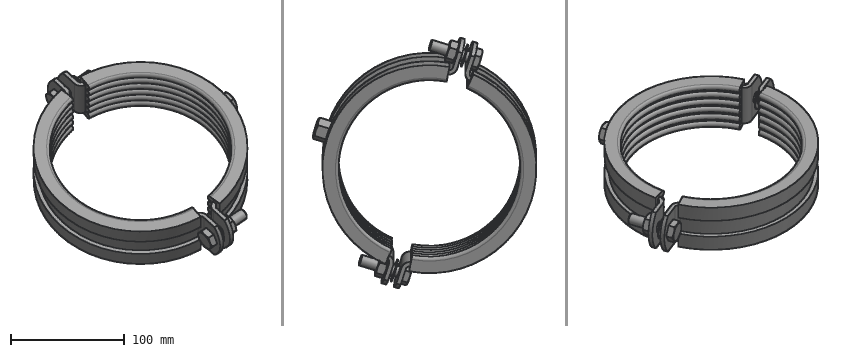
import cadquery as cq
import math


liner_width = 47.0
liner_outer_radius = 94.0
liner_inner_radius = 82.6
liner_end_angle = 6.7
groove_width = 17.5
bead_radius = 3.0
bead_count = 6

steel_thickness = 4.0
steel_outer_radius = 90.0
steel_width = 39.7
ear_gap = 7.6
ear_tip_x = 115.5
ear_tip_radius = 30.0
bend_inner_radius = 4.0

bolt_x = 101.8
bolt_diameter = 10.0
bolt_tip_y = 31.6
bolt_tip_chamfer = 0.7
bolt_hex_flats = 17.0
bolt_face_diameter = 16.6
head_height = 6.5
nut_height = 7.8
washer_diameter = 20.0
washer_thickness = 0.7

boss_flats = 17.5
boss_face_diameter = 16.6
boss_base_y = 89.5
boss_top_y = 104.8

hex_chamfer_angle = 30.0

steel_inner_radius = steel_outer_radius - steel_thickness
bend_outer_radius = bend_inner_radius + steel_thickness
ear_inner_y = ear_gap / 2
ear_outer_y = ear_inner_y + steel_thickness
bend_y = ear_outer_y + bend_inner_radius
bend_distance = steel_outer_radius + bend_inner_radius
bend_x = math.sqrt(bend_distance**2 - bend_y**2)
bend_angle = math.degrees(math.asin(bend_y / bend_distance))


def polar(radius, degrees):
    angle = math.radians(degrees)
    return (radius * math.cos(angle), radius * math.sin(angle))


def ring(inner_radius, outer_radius, width):
    annulus = cq.Workplane("XY").circle(outer_radius).circle(inner_radius)
    return annulus.extrude(width / 2, both=True)


def split_gap(end_angle):
    """Wedges on both sides of the axis, open by end_angle above and below the split plane."""
    reach = ear_tip_x
    rise = reach * math.tan(math.radians(end_angle))
    wedge = cq.Workplane("XY").polyline([(0, 0), (reach, rise), (reach, -rise)]).close()
    wedge = wedge.extrude(liner_width, both=True)
    return wedge.union(wedge.mirror("YZ"))


def rod(x, diameter, y_start, y_end):
    return cq.Workplane("XZ", origin=(x, y_start, 0)).circle(diameter / 2).extrude(y_start - y_end)


def hexagon(x, flats, face_diameter, y_start, y_end, chamfered_ends):
    """Prism along Y with corners toward X and conical corner chamfers that leave a round face."""
    corners = flats / math.cos(math.radians(30))
    chamfer_width = (corners - face_diameter) / 2
    chamfer_depth = chamfer_width * math.tan(math.radians(hex_chamfer_angle))
    prism = cq.Workplane("XZ", origin=(x, y_start, 0)).polygon(6, corners).extrude(y_start - y_end)
    limit = rod(x, corners, y_start, y_end)
    for end in chamfered_ends:
        rim = limit.faces(end).edges()
        limit = rim.chamfer(chamfer_depth, chamfer_width)
    return prism.intersect(limit)


def make_liner():
    liner = ring(liner_inner_radius, liner_outer_radius, liner_width)
    liner = liner.cut(ring(steel_outer_radius, liner_outer_radius, groove_width))
    liner = liner.cut(ring(steel_inner_radius, steel_outer_radius, steel_width))
    end_bead_z = liner_width / 2 - bead_radius
    pitch = 2 * end_bead_z / (bead_count - 1)
    for index in range(bead_count):
        bead = cq.Solid.makeTorus(
            liner_inner_radius, bead_radius, cq.Vector(0, 0, index * pitch - end_bead_z), cq.Vector(0, 0, 1)
        )
        liner = liner.union(cq.Workplane(bead))
    return liner.cut(split_gap(liner_end_angle))


def make_band():
    return ring(steel_inner_radius, steel_outer_radius, steel_width).cut(split_gap(bend_angle))


def make_ear():
    """Bend and flat ear at the +X end of the +Y half band."""
    band_side = 180 + bend_angle
    bend_middle = (band_side + 270) / 2

    def on_bend(radius, degrees):
        dx, dy = polar(radius, degrees)
        return (bend_x + dx, bend_y + dy)

    strip = (
        cq.Workplane("XY")
        .moveTo(*on_bend(bend_inner_radius, band_side))
        .threePointArc(on_bend(bend_inner_radius, bend_middle), (bend_x, ear_outer_y))
        .lineTo(ear_tip_x, ear_outer_y)
        .lineTo(ear_tip_x, ear_inner_y)
        .lineTo(bend_x, ear_inner_y)
        .threePointArc(on_bend(bend_outer_radius, bend_middle), on_bend(bend_outer_radius, band_side))
        .close()
        .extrude(steel_width / 2, both=True)
    )
    tip_limit = rod(ear_tip_x - ear_tip_radius, 2 * ear_tip_radius, 0, bend_y)
    return strip.intersect(tip_limit)


def make_bolt():
    """Bolt, nut and retaining washer at +X."""
    shank = rod(bolt_x, bolt_diameter, -ear_outer_y, bolt_tip_y).faces(">Y").chamfer(bolt_tip_chamfer)
    head_y = -ear_outer_y - head_height
    nut_y = ear_outer_y + nut_height
    head = hexagon(bolt_x, bolt_hex_flats, bolt_face_diameter, head_y, -ear_outer_y, ["<Y"])
    nut = hexagon(bolt_x, bolt_hex_flats, bolt_face_diameter, ear_outer_y, nut_y, ["<Y", ">Y"])
    washer = rod(bolt_x, washer_diameter, -washer_thickness / 2, washer_thickness / 2)
    return shank.union(head).union(nut).union(washer)


def make_boss():
    return hexagon(0, boss_flats, boss_face_diameter, boss_base_y, boss_top_y, ["<Y", ">Y"])


upper_ear = make_ear()
side_parts = upper_ear.union(upper_ear.mirror("XZ")).union(make_bolt())

result = (
    make_band()
    .union(make_liner())
    .union(side_parts)
    .union(side_parts.mirror("YZ"))
    .union(make_boss())
)